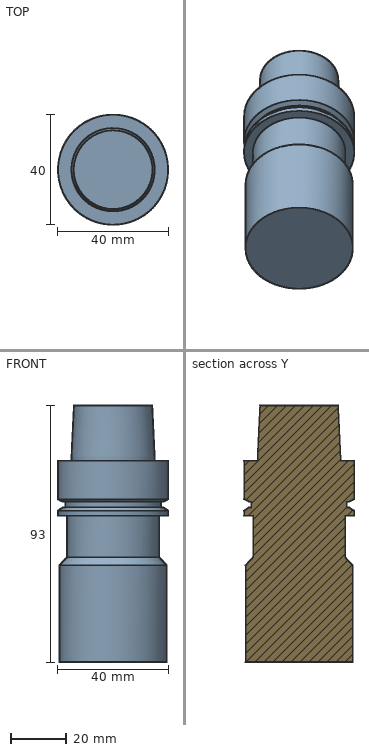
import cadquery as cq

total_height = 93.0
body_height = 35.1
body_chamfer_height = 2.9
lower_flange_bottom = 52.9
lower_rim_height = 1.95
flange_top = 73.0
upper_rim_bottom = 59.0
groove_bottom = 56.1
groove_top = 58.0
shank_base_height = 1.5

body_diameter = 39.0
neck_diameter = 33.6
flange_diameter = 40.0
groove_diameter = 34.8
groove_mouth_diameter = 36.4
shank_base_diameter = 30.2
shank_tip_diameter = 28.5

body_top = body_height + body_chamfer_height
lower_rim_top = lower_flange_bottom + lower_rim_height
shank_taper_start = flange_top + shank_base_height

diameters_and_heights = [
    (body_diameter, 0),
    (body_diameter, body_height),
    (neck_diameter, body_top),
    (neck_diameter, lower_flange_bottom),
    (flange_diameter, lower_flange_bottom),
    (flange_diameter, lower_rim_top),
    (groove_mouth_diameter, groove_bottom),
    (groove_diameter, groove_bottom),
    (groove_diameter, groove_top),
    (groove_mouth_diameter, groove_top),
    (flange_diameter, upper_rim_bottom),
    (flange_diameter, flange_top),
    (shank_base_diameter, flange_top),
    (shank_base_diameter, shank_taper_start),
    (shank_tip_diameter, total_height),
]
half_profile = [(diameter / 2, height) for diameter, height in diameters_and_heights]

result = (
    cq.Workplane("XZ")
    .polyline([(0, 0)] + half_profile + [(0, total_height)])
    .close()
    .revolve(360, (0, 0, 0), (0, 1, 0))
)